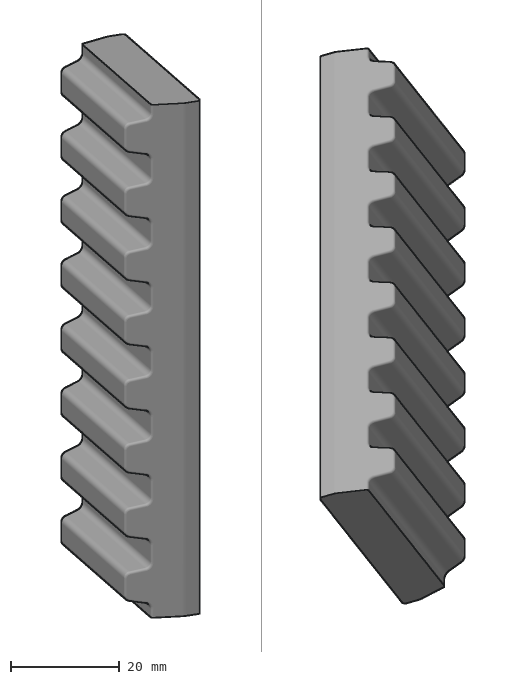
import cadquery as cq
import math

length = 101.6
width = 36.1
thickness = 14.0

tooth_count = 8
pitch = length / tooth_count
tooth_height = 4.8
root_depth = thickness - tooth_height
crest_width = 5.5
root_width = 7.3
tooth_radius = 1.2

straight_side = 3.4
side_taper = 15.0
side_blend_radius = 2.4
back_edge_radius = 0.6
front_edge_radius = 0.5

zone_margin = 0.5
toothed_zone = cq.selectors.BoxSelector(
    (-width / 2, -thickness - zone_margin, zone_margin),
    (width / 2, -root_depth + zone_margin, length - zone_margin),
)


def make_bar():
    """Plain bar at full thickness, without gaps between the teeth."""
    half_back = width / 2
    half_front = half_back - (thickness - straight_side) * math.tan(math.radians(side_taper))
    outline = [
        (-half_back, 0),
        (half_back, 0),
        (half_back, -straight_side),
        (half_front, -thickness),
        (-half_front, -thickness),
        (-half_back, -straight_side),
    ]
    bar = cq.Workplane("XY").polyline(outline).close().extrude(length)
    bar = bar.edges("|Z").edges("<X or >X").edges("<Y").fillet(side_blend_radius)
    return bar.faces(">Y").edges("|Z").fillet(back_edge_radius)


def make_tooth_profile():
    """Side profile of the toothed bar, extruded across its width."""
    outline = [(0, 0), (-root_depth, 0)]
    for tooth in range(tooth_count):
        center = (tooth + 0.5) * pitch
        outline += [
            (-root_depth, center - root_width / 2),
            (-thickness, center - crest_width / 2),
            (-thickness, center + crest_width / 2),
            (-root_depth, center + root_width / 2),
        ]
    outline += [(-root_depth, length), (0, length)]
    rack = cq.Workplane("YZ").polyline(outline).close().extrude(width / 2, both=True)
    return rack.edges("|X").edges(toothed_zone).fillet(tooth_radius)


def round_front_edges(part):
    """Round the edges where the toothed front meets the tapered sides."""
    return part.edges(toothed_zone).edges("not |X").fillet(front_edge_radius)


toothed_bar = make_bar().intersect(make_tooth_profile())
result = round_front_edges(toothed_bar)